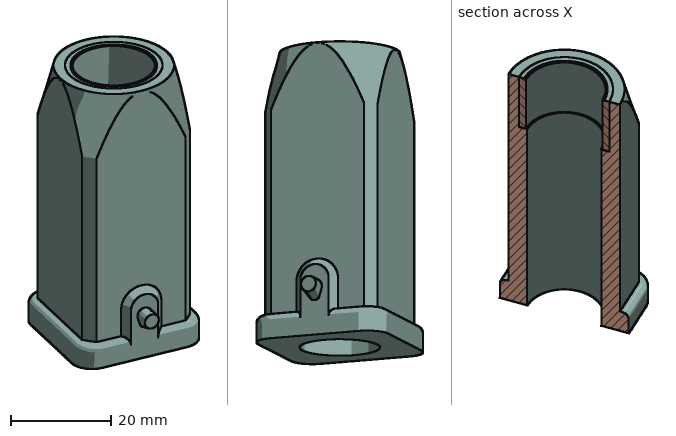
import cadquery as cq
import math

HEIGHT = 60.0
PIN_SPAN = 33.4

BASE_X = 27.0
BASE_Y = 28.0
BASE_HEIGHT = 5.3
BASE_CORNER_R = 4.5
BASE_TOP_FILLET = 1.5

TRUNK_HALF_Y = 12.1
TRUNK_RIDGE_X = 12.1
TRUNK_SIDE_X = 11.95
TRUNK_EDGE_R = 15.6
CONE_TOP_R = 12.05
CONE_START_Z = 47.0

INSERT_D = 19.5
INSERT_LENGTH = 13.2
INSERT_BORE_D = 16.5
RECESS_D = 17.3
RECESS_DEPTH = 0.1
HOUSING_BORE_D = 16.0

BOSS_CENTRE_Z = 11.35
BOSS_FACE_R = 3.05
BOSS_CHAMFER = 1.5
BOSS_SIDE_ANGLE = 45
BOSS_FACE_X = BASE_X / 2
BOSS_ROOT_R = BOSS_FACE_R + BOSS_CHAMFER
BOSS_ROOT_X = BOSS_FACE_X - BOSS_CHAMFER
BOSS_BOTTOM_Z = 1.2

PIN_R = 3.2 / 2
PIN_CENTRE_Z = 9.8
WEB_R = 1.1
WEB_DROP = 1.7


def make_base():
    base = cq.Workplane("XY").rect(BASE_X, BASE_Y).extrude(BASE_HEIGHT)
    base = base.edges("|Z").fillet(BASE_CORNER_R)
    return base.faces(">Z").edges().fillet(BASE_TOP_FILLET)


def make_trunk():
    column = (
        cq.Workplane("XY")
        .moveTo(TRUNK_RIDGE_X, 0)
        .lineTo(TRUNK_SIDE_X, TRUNK_HALF_Y)
        .lineTo(-TRUNK_SIDE_X, TRUNK_HALF_Y)
        .lineTo(-TRUNK_RIDGE_X, 0)
        .lineTo(-TRUNK_SIDE_X, -TRUNK_HALF_Y)
        .lineTo(TRUNK_SIDE_X, -TRUNK_HALF_Y)
        .close()
        .extrude(HEIGHT)
    )
    envelope = (
        cq.Workplane("XZ")
        .moveTo(0, 0)
        .lineTo(TRUNK_EDGE_R, 0)
        .lineTo(TRUNK_EDGE_R, CONE_START_Z)
        .lineTo(CONE_TOP_R, HEIGHT)
        .lineTo(0, HEIGHT)
        .close()
        .revolve(360, (0, 0, 0), (0, 1, 0))
    )
    return column.intersect(envelope)


def make_boss():
    """Round-topped boss on the +X side, with sides that slope at 45 degrees."""
    return (
        cq.Workplane("YZ", origin=(BOSS_ROOT_X, 0, 0))
        .moveTo(-BOSS_ROOT_R, BOSS_BOTTOM_Z)
        .lineTo(BOSS_ROOT_R, BOSS_BOTTOM_Z)
        .lineTo(BOSS_ROOT_R, BOSS_CENTRE_Z)
        .threePointArc((0, BOSS_CENTRE_Z + BOSS_ROOT_R), (-BOSS_ROOT_R, BOSS_CENTRE_Z))
        .close()
        .extrude(BOSS_CHAMFER, taper=BOSS_SIDE_ANGLE)
    )


def make_pin():
    """Pin on the +X side: a teardrop section at the boss that becomes a circle at the tip."""
    tangent_angle = math.asin((PIN_R - WEB_R) / WEB_DROP)
    corner_angle = math.pi / 4
    web_centre_z = PIN_CENTRE_Z - WEB_DROP

    def on_circle(radius, centre_z, angle):
        return radius * math.cos(angle), centre_z - radius * math.sin(angle)

    def mirrored(point):
        return -point[0], point[1]

    shoulder = on_circle(PIN_R, PIN_CENTRE_Z, tangent_angle)
    pin_top = (0, PIN_CENTRE_Z + PIN_R)
    web_corner = on_circle(WEB_R, web_centre_z, tangent_angle)
    web_bottom = (0, web_centre_z - WEB_R)
    tip_corner = on_circle(PIN_R, PIN_CENTRE_Z, corner_angle)
    tip_side = on_circle(PIN_R, PIN_CENTRE_Z, (tangent_angle + corner_angle) / 2)
    tip_bottom = (0, PIN_CENTRE_Z - PIN_R)

    return (
        cq.Workplane("YZ", origin=(BOSS_FACE_X, 0, 0))
        .moveTo(*shoulder)
        .threePointArc(pin_top, mirrored(shoulder))
        .lineTo(*mirrored(web_corner))
        .threePointArc(web_bottom, web_corner)
        .close()
        .workplane(offset=PIN_SPAN / 2 - BOSS_FACE_X)
        .moveTo(*shoulder)
        .threePointArc(pin_top, mirrored(shoulder))
        .threePointArc(mirrored(tip_side), mirrored(tip_corner))
        .threePointArc(tip_bottom, tip_corner)
        .threePointArc(tip_side, shoulder)
        .close()
        .loft(ruled=True)
    )


def make_housing():
    housing = make_base().union(make_trunk())
    boss_with_pin = make_boss().union(make_pin())
    for side in (boss_with_pin, boss_with_pin.mirror("YZ")):
        housing = housing.union(side)
    bore = cq.Workplane("XY").circle(HOUSING_BORE_D / 2).extrude(HEIGHT)
    insert_seat = (
        cq.Workplane("XY", origin=(0, 0, HEIGHT - INSERT_LENGTH))
        .circle(INSERT_D / 2)
        .extrude(INSERT_LENGTH)
    )
    return housing.cut(bore).cut(insert_seat)


def make_insert():
    """Sleeve flush with the top of the housing, with a shallow recess around its bore."""
    sleeve = (
        cq.Workplane("XY", origin=(0, 0, HEIGHT - INSERT_LENGTH))
        .circle(INSERT_D / 2)
        .circle(INSERT_BORE_D / 2)
        .extrude(INSERT_LENGTH)
    )
    recess = (
        cq.Workplane("XY", origin=(0, 0, HEIGHT - RECESS_DEPTH))
        .circle(RECESS_D / 2)
        .extrude(RECESS_DEPTH)
    )
    return sleeve.cut(recess)


housing = make_housing()
insert = make_insert()

result = cq.Compound.makeCompound([housing.solids().val(), insert.solids().val()])